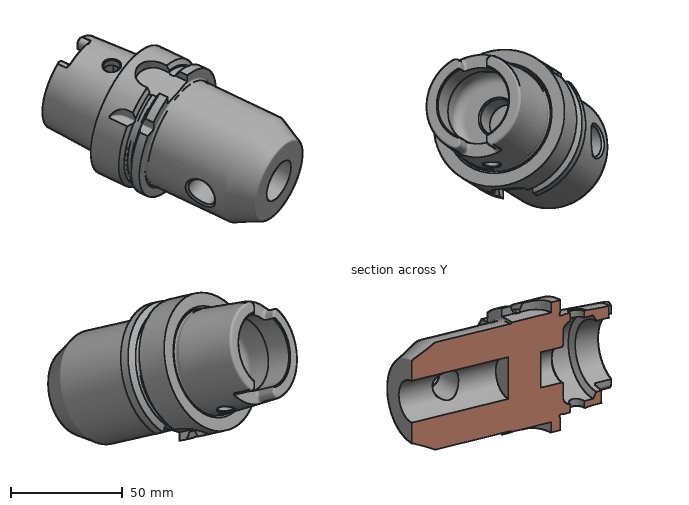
import cadquery as cq
import math


TAPER_LENGTH = 32.0
PROJECTION = 80.0
FLANGE_RADIUS = 63.0 / 2
FLANGE_WIDTH = 26.0
BODY_RADIUS = 52.0 / 2

GAUGE_RADIUS = 48.0 / 2
GAUGE_DISTANCE = 6.3
TAPER_SLOPE = 1 / 20
TAPER_END_ROUND = 1.2

RELIEF_START = -2.2
RELIEF_FLOOR_START = -1.2
RELIEF_FLOOR_END = -0.4
RELIEF_FLOOR_RADIUS = 23.95
RELIEF_FACE_DEPTH = 0.4
RELIEF_FACE_INNER_RADIUS = 24.5
RELIEF_FACE_OUTER_RADIUS = 25.4

GROOVE_FLOOR_RADIUS = 55.0 / 2
GROOVE_START = 14.96
GROOVE_END = 21.6
GROOVE_WALL_START = 16.35
GROOVE_WALL_END = 19.85
GROOVE_FLANK_ANGLE = 30.0
GROOVE_FLOOR_ROUND = 0.8

NECK_ROUND = 1.0
NOSE_START = 67.2
NOSE_END_RADIUS = 20.0
NOSE_SHOULDER_ROUND = 0.6
NOSE_END_ROUND = 1.0

CAVITY_MOUTH_RADIUS = 34.0 / 2
CAVITY_MOUTH_CHAMFER = 0.5
CAVITY_LIP_END = -19.3
CAVITY_RECESS_RADIUS = 40.0 / 2
CAVITY_SHOULDER_ANGLE = 60.0
CAVITY_FLOOR = -1.6
CAVITY_FLOOR_ROUND = 4.4

COOLANT_BORE_RADIUS = 16.9 / 2
COOLANT_CHAMFER = 0.7
COOLANT_BORE_DEPTH = 12.0

SHANK_BORE_RADIUS = 20.0 / 2
SHANK_BORE_DEPTH = 52.0

SCREW_HOLE_X = 55.0
SCREW_HOLE_RADIUS = 14.0 / 2
SCREW_RIM_BEVEL = 1.0

ACCESS_HOLE_X = -9.1
ACCESS_HOLE_RADIUS = 7.5 / 2
ACCESS_RIM_BEVEL = 0.5

NOTCH_HALF_WIDTH = 12.54 / 2
NOTCH_TOP_DEPTH = 5.8
NOTCH_BOTTOM_DEPTH = 9.8
NOTCH_FLOOR_ROUND = 1.3
NOTCH_FLARE_ROUND = 2.5
NOTCH_MOUTH_ROUND = 0.9

KEY_SLOT_HALF_WIDTH = 8.0
KEY_SLOT_START = 5.0
KEY_SLOT_FLOOR = 26.5

CORNER_NOTCH_START = 4.6
CORNER_NOTCH_OFFSET = 19.8
CORNER_NOTCH_END_RADIUS = 7.5
CORNER_NOTCH_ROUND = 0.7

CLEARANCE = 10.0


def taper_radius(x):
    return GAUGE_RADIUS + (x + GAUGE_DISTANCE) * TAPER_SLOPE


def revolve_about_axis(profile):
    return profile.close().revolve(360, (0, 0, 0), (1, 0, 0))


def make_outer_body():
    diagonal = math.sqrt(0.5)
    flank_slope = 1 / math.tan(math.radians(GROOVE_FLANK_ANGLE))
    left_foot_radius = FLANGE_RADIUS - (GROOVE_WALL_START - GROOVE_START) * flank_slope
    right_foot_radius = FLANGE_RADIUS - (GROOVE_END - GROOVE_WALL_END) * flank_slope
    groove_left_round_x = GROOVE_WALL_START + GROOVE_FLOOR_ROUND * (1 - diagonal)
    groove_right_round_x = GROOVE_WALL_END - GROOVE_FLOOR_ROUND * (1 - diagonal)
    groove_round_r = GROOVE_FLOOR_RADIUS + GROOVE_FLOOR_ROUND * (1 - diagonal)
    groove_round_top = GROOVE_FLOOR_RADIUS + GROOVE_FLOOR_ROUND
    neck_mid_x = FLANGE_WIDTH + NECK_ROUND * (1 - diagonal)
    neck_mid_r = BODY_RADIUS + NECK_ROUND * (1 - diagonal)
    profile = (
        cq.Workplane("XY")
        .moveTo(-TAPER_LENGTH, 0)
        .lineTo(-TAPER_LENGTH, taper_radius(-TAPER_LENGTH))
        .lineTo(RELIEF_START, taper_radius(RELIEF_START))
        .lineTo(RELIEF_FLOOR_START, RELIEF_FLOOR_RADIUS)
        .lineTo(RELIEF_FLOOR_END, RELIEF_FLOOR_RADIUS)
        .tangentArcPoint((RELIEF_FACE_DEPTH, RELIEF_FACE_INNER_RADIUS), relative=False)
        .lineTo(0, RELIEF_FACE_OUTER_RADIUS)
        .lineTo(0, FLANGE_RADIUS)
        .lineTo(GROOVE_START, FLANGE_RADIUS)
        .lineTo(GROOVE_WALL_START, left_foot_radius)
        .lineTo(GROOVE_WALL_START, groove_round_top)
        .threePointArc(
            (groove_left_round_x, groove_round_r),
            (GROOVE_WALL_START + GROOVE_FLOOR_ROUND, GROOVE_FLOOR_RADIUS),
        )
        .lineTo(GROOVE_WALL_END - GROOVE_FLOOR_ROUND, GROOVE_FLOOR_RADIUS)
        .threePointArc(
            (groove_right_round_x, groove_round_r),
            (GROOVE_WALL_END, groove_round_top),
        )
        .lineTo(GROOVE_WALL_END, right_foot_radius)
        .lineTo(GROOVE_END, FLANGE_RADIUS)
        .lineTo(FLANGE_WIDTH, FLANGE_RADIUS)
        .lineTo(FLANGE_WIDTH, BODY_RADIUS + NECK_ROUND)
        .threePointArc((neck_mid_x, neck_mid_r), (FLANGE_WIDTH + NECK_ROUND, BODY_RADIUS))
        .lineTo(NOSE_START, BODY_RADIUS)
        .lineTo(PROJECTION, NOSE_END_RADIUS)
        .lineTo(PROJECTION, 0)
    )
    body = revolve_about_axis(profile)
    body = body.faces(">X").edges().fillet(NOSE_END_ROUND)
    body = body.faces("<X").edges().fillet(TAPER_END_ROUND)
    nose_zone = cq.selectors.BoxSelector(
        (NOSE_START - NECK_ROUND, -BODY_RADIUS, -BODY_RADIUS),
        (NOSE_START + NECK_ROUND, BODY_RADIUS, BODY_RADIUS),
    )
    return body.edges("%CIRCLE").edges(nose_zone).fillet(NOSE_SHOULDER_ROUND)


def make_cavity():
    shoulder_length = (CAVITY_RECESS_RADIUS - CAVITY_MOUTH_RADIUS) / math.tan(
        math.radians(CAVITY_SHOULDER_ANGLE)
    )
    coolant_end = CAVITY_FLOOR + COOLANT_BORE_DEPTH
    profile = (
        cq.Workplane("XY")
        .moveTo(-TAPER_LENGTH, 0)
        .lineTo(-TAPER_LENGTH, CAVITY_MOUTH_RADIUS + CAVITY_MOUTH_CHAMFER)
        .lineTo(-TAPER_LENGTH + CAVITY_MOUTH_CHAMFER, CAVITY_MOUTH_RADIUS)
        .lineTo(CAVITY_LIP_END, CAVITY_MOUTH_RADIUS)
        .lineTo(CAVITY_LIP_END + shoulder_length, CAVITY_RECESS_RADIUS)
        .lineTo(CAVITY_FLOOR - CAVITY_FLOOR_ROUND, CAVITY_RECESS_RADIUS)
        .tangentArcPoint((CAVITY_FLOOR, CAVITY_RECESS_RADIUS - CAVITY_FLOOR_ROUND), relative=False)
        .lineTo(CAVITY_FLOOR, COOLANT_BORE_RADIUS + COOLANT_CHAMFER)
        .lineTo(CAVITY_FLOOR + COOLANT_CHAMFER, COOLANT_BORE_RADIUS)
        .lineTo(coolant_end, COOLANT_BORE_RADIUS)
        .lineTo(coolant_end, 0)
    )
    return revolve_about_axis(profile)


def make_shank_bore():
    return (
        cq.Workplane("YZ", origin=(PROJECTION, 0, 0))
        .circle(SHANK_BORE_RADIUS)
        .extrude(-SHANK_BORE_DEPTH)
    )


def make_drive_notch(side, depth):
    rim_radius = taper_radius(-TAPER_LENGTH)
    flare_y = NOTCH_HALF_WIDTH + NOTCH_FLARE_ROUND
    flare_distance = rim_radius - NOTCH_FLARE_ROUND
    flare_z = math.sqrt(flare_distance**2 - flare_y**2)
    rim_angle = math.atan2(flare_z, flare_y)
    mid_angle = (math.pi + rim_angle) / 2
    outer_radius = rim_radius + CLEARANCE

    def flare_point(angle, y_sign):
        y = flare_y + NOTCH_FLARE_ROUND * math.cos(angle)
        z = flare_z + NOTCH_FLARE_ROUND * math.sin(angle)
        return (y_sign * y, side * z)

    def outer_point(y_sign):
        y = outer_radius * math.cos(rim_angle)
        return (y_sign * y, side * outer_radius * math.sin(rim_angle))

    profile = (
        cq.Workplane("YZ", origin=(-TAPER_LENGTH - CLEARANCE, 0, 0))
        .moveTo(-NOTCH_HALF_WIDTH, 0)
        .lineTo(NOTCH_HALF_WIDTH, 0)
        .lineTo(NOTCH_HALF_WIDTH, side * flare_z)
        .threePointArc(flare_point(mid_angle, 1), flare_point(rim_angle, 1))
        .lineTo(*outer_point(1))
        .lineTo(*outer_point(-1))
        .lineTo(*flare_point(rim_angle, -1))
        .threePointArc(flare_point(mid_angle, -1), (-NOTCH_HALF_WIDTH, side * flare_z))
        .close()
    )
    cutter = profile.extrude(CLEARANCE + depth)
    walls = cq.selectors.BoxSelector(
        (-TAPER_LENGTH, -rim_radius / 2, side * NOTCH_FLOOR_ROUND),
        (0, rim_radius / 2, side * rim_radius),
    )
    return cutter.faces(">X").edges(walls).fillet(NOTCH_FLOOR_ROUND)


def make_key_slot(side):
    length = FLANGE_WIDTH + NECK_ROUND - KEY_SLOT_START
    center_x = KEY_SLOT_START + KEY_SLOT_HALF_WIDTH
    end_x = KEY_SLOT_START + length
    return (
        cq.Workplane("XY", origin=(0, 0, side * KEY_SLOT_FLOOR))
        .moveTo(end_x, KEY_SLOT_HALF_WIDTH)
        .lineTo(center_x, KEY_SLOT_HALF_WIDTH)
        .threePointArc((KEY_SLOT_START, 0), (center_x, -KEY_SLOT_HALF_WIDTH))
        .lineTo(end_x, -KEY_SLOT_HALF_WIDTH)
        .close()
        .extrude(side * CLEARANCE)
    )


def make_corner_notch():
    center_x = CORNER_NOTCH_START + CORNER_NOTCH_END_RADIUS
    wall_y = -CORNER_NOTCH_OFFSET
    center_y = wall_y - CORNER_NOTCH_END_RADIUS
    far_y = center_y - CORNER_NOTCH_END_RADIUS
    end_x = FLANGE_WIDTH + NECK_ROUND
    return (
        cq.Workplane("XY", origin=(0, 0, CORNER_NOTCH_OFFSET))
        .moveTo(end_x, wall_y)
        .lineTo(center_x, wall_y)
        .threePointArc((CORNER_NOTCH_START, center_y), (center_x, far_y))
        .lineTo(end_x, far_y)
        .close()
        .extrude(CLEARANCE)
        .faces("<Z")
        .edges()
        .fillet(CORNER_NOTCH_ROUND)
    )


def cut_screw_hole(part):
    hole = cq.Solid.makeCylinder(
        SCREW_HOLE_RADIUS, FLANGE_RADIUS, cq.Vector(SCREW_HOLE_X, 0, 0), cq.Vector(0, -1, 0)
    )
    return bevel_hole_rims(part.cut(cq.Workplane(hole)), SCREW_HOLE_X, SCREW_HOLE_RADIUS, SCREW_RIM_BEVEL)


def cut_access_hole(part):
    hole = (
        cq.Workplane("XY", origin=(ACCESS_HOLE_X, 0, -FLANGE_RADIUS))
        .circle(ACCESS_HOLE_RADIUS)
        .extrude(2 * FLANGE_RADIUS)
    )
    return bevel_hole_rims(part.cut(hole), ACCESS_HOLE_X, ACCESS_HOLE_RADIUS, ACCESS_RIM_BEVEL)


def bevel_hole_rims(part, hole_x, hole_radius, bevel):
    def is_rim(edge):
        box = edge.BoundingBox()
        centered = abs((box.xmin + box.xmax) / 2 - hole_x) < bevel
        sized = abs(box.xlen - 2 * hole_radius) < bevel
        center = edge.Center()
        return centered and sized and math.hypot(center.y, center.z) > CAVITY_RECESS_RADIUS + 1

    rims = [edge for edge in part.edges().vals() if is_rim(edge)]
    return part.newObject(rims).chamfer(bevel)


def round_notch_mouths(part):
    def is_on_notch(edge):
        center = edge.arcCenter() if edge.geomType() == "CIRCLE" else edge.Center()
        return math.hypot(center.y, center.z) > NOTCH_HALF_WIDTH

    edges = [edge for edge in part.faces("<X").edges().vals() if is_on_notch(edge)]
    return part.newObject(edges).fillet(NOTCH_MOUTH_ROUND)


holder = make_outer_body()
for side, depth in ((1, NOTCH_TOP_DEPTH), (-1, NOTCH_BOTTOM_DEPTH)):
    holder = holder.cut(make_drive_notch(side, depth))
holder = holder.cut(make_cavity()).cut(make_shank_bore())
holder = round_notch_mouths(holder)
for side in (1, -1):
    holder = holder.cut(make_key_slot(side))
holder = holder.cut(make_corner_notch())
holder = cut_screw_hole(holder)
result = cut_access_hole(holder)